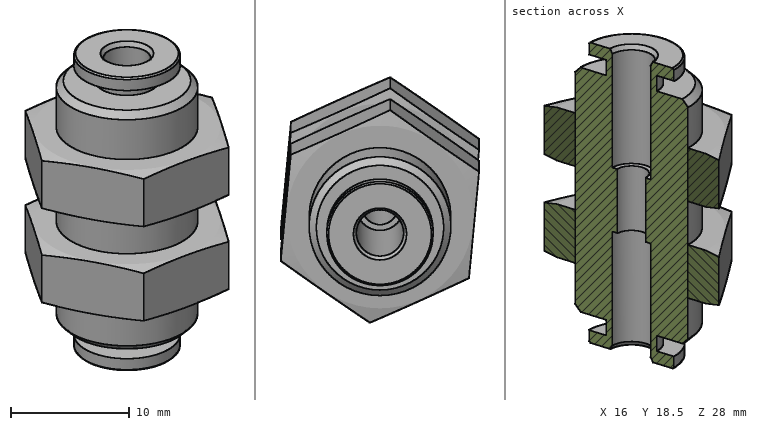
import cadquery as cq
import math


total_length = 28.0
body_diameter = 12.0
body_chamfer = 0.61
flange_diameter = 9.0
flange_thickness = 1.2
flange_chamfer = 0.15
neck_diameter = 5.4
neck_length = 1.4

through_diameter = 3.0
socket_diameter = 4.0
socket_depth = 11.0
socket_lead_in_width = 0.25
socket_lead_in_depth = 0.43

hexagon_sides = 6
nut_across_flats = 16.0
nut_height = 5.0
nut_spacing = 9.0
nut_face_diameter = 15.8
nut_bevel_angle = 10.0

half_length = total_length / 2
body_length = total_length - 2 * (flange_thickness + neck_length)
hexagon_half_angle = 360 / hexagon_sides / 2
nut_across_corners = nut_across_flats / math.cos(math.radians(hexagon_half_angle))


def cylinder(diameter, length, bottom):
    """Round bar on the Z axis, starting at height bottom."""
    return cq.Workplane("XY").workplane(offset=bottom).circle(diameter / 2).extrude(length)


def make_release_sleeve():
    """Upper neck and flange, with a small chamfer round the outer end."""
    neck = cylinder(neck_diameter, neck_length, body_length / 2)
    flange = cylinder(flange_diameter, flange_thickness, half_length - flange_thickness)
    return neck.union(flange.faces(">Z").chamfer(flange_chamfer))


def make_tube_socket():
    """Cutter for the upper tube socket, with its conical lead-in at the mouth."""
    radius = socket_diameter / 2
    mouth_radius = radius + socket_lead_in_width
    half_profile = [
        (0, half_length - socket_depth),
        (radius, half_length - socket_depth),
        (radius, half_length - socket_lead_in_depth),
        (mouth_radius, half_length),
        (0, half_length),
    ]
    return cq.Workplane("XZ").polyline(half_profile).close().revolve(360, (0, 0), (0, 1))


def make_fitting():
    """Chamfered body with a release sleeve and a tube socket at both ends."""
    fitting = cylinder(body_diameter, body_length, -body_length / 2)
    fitting = fitting.faces("<Z or >Z").chamfer(body_chamfer)
    sleeve = make_release_sleeve()
    fitting = fitting.union(sleeve).union(sleeve.mirror("XY"))
    socket = make_tube_socket()
    fitting = fitting.cut(socket).cut(socket.mirror("XY"))
    return fitting.cut(cylinder(through_diameter, total_length, -half_length))


def make_nut_envelope():
    """Turned blank that bevels the hexagon corners on both nut faces."""
    face_radius = nut_face_diameter / 2
    corner_radius = nut_across_corners / 2
    bevel_drop = (corner_radius - face_radius) * math.tan(math.radians(nut_bevel_angle))
    half_height = nut_height / 2
    half_profile = [
        (0, -half_height),
        (face_radius, -half_height),
        (corner_radius, -half_height + bevel_drop),
        (corner_radius, half_height - bevel_drop),
        (face_radius, half_height),
        (0, half_height),
    ]
    return cq.Workplane("XZ").polyline(half_profile).close().revolve(360, (0, 0), (0, 1))


def make_nut(center_height):
    """Hex nut with flats facing +X and -X, fitting closely round the body."""
    nut = (
        cq.Workplane("XY")
        .polygon(hexagon_sides, nut_across_corners)
        .extrude(nut_height / 2, both=True)
        .rotate((0, 0, 0), (0, 0, 1), hexagon_half_angle)
    )
    nut = nut.intersect(make_nut_envelope())
    nut = nut.cut(cylinder(body_diameter, nut_height, -nut_height / 2))
    return nut.translate((0, 0, center_height))


fitting = make_fitting()
nuts = [make_nut(side * nut_spacing / 2) for side in (-1, 1)]

result = cq.Compound.makeCompound([fitting.val(), *[nut.val() for nut in nuts]])